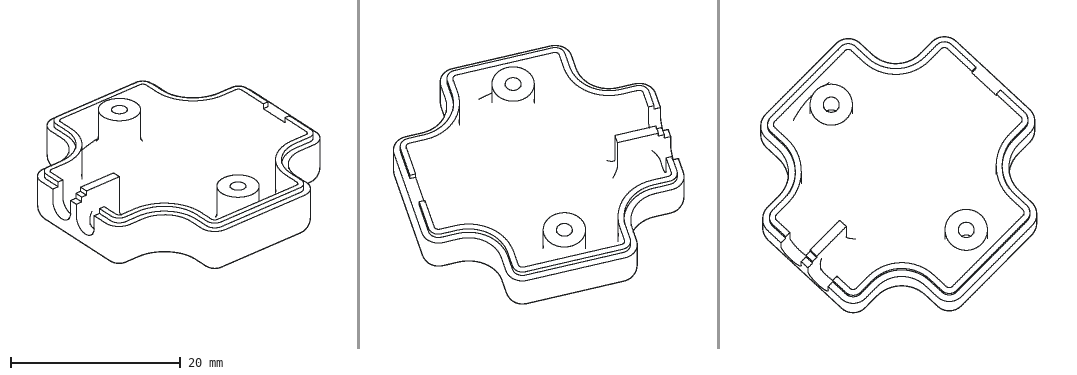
import cadquery as cq
import math

span = 32.0
arm_width = 16.0
corner_radius = 2.0
inside_radius = 4.0
bottom_radius = 2.0
rim_height = 6.0
floor_thickness = 1.5
wall_thickness = 1.5
floor_fillet = corner_radius - wall_thickness

lip_inset = 0.8
lip_top = 6.7
lip_gap_width = 4.0

post_top = 7.25
post_diameter = 5.0
post_offset = 11.0
post_fillet = 2.0
post_hole_diameter = 1.85

slot_width = 3.3
divider_width = 1.1
slot_bottom = 2.7
divider_length = 5.02
divider_fillet = 1.0

inner_wall = span / 2 - wall_thickness
root_z = floor_thickness / 2
edge_margin = 0.03


def cross_prism(inset, bottom, top):
    """Rounded cross whose outline lies `inset` inside the outer outline."""
    end = span / 2 - inset
    side = arm_width / 2 - inset
    convex = corner_radius - inset
    concave = inside_radius + inset
    height = top - bottom
    arm_x = cq.Workplane("XY").box(2 * end, 2 * side, height, centered=(True, True, False))
    arm_y = cq.Workplane("XY").box(2 * side, 2 * end, height, centered=(True, True, False))
    ends = arm_x.edges("|Z").fillet(convex).union(arm_y.edges("|Z").fillet(convex))
    reach = side + concave
    hub = cq.Workplane("XY").box(2 * reach, 2 * reach, height, centered=(True, True, False))
    scoops = (
        cq.Workplane("XY")
        .rect(2 * reach, 2 * reach, forConstruction=True)
        .vertices()
        .circle(concave)
        .extrude(height)
    )
    return ends.union(hub.cut(scoops)).clean().translate((0, 0, bottom))


def make_tray():
    body = cross_prism(0, 0, rim_height).faces("<Z").edges().fillet(bottom_radius)
    lip = cross_prism(lip_inset, floor_thickness, lip_top)
    cavity = cross_prism(wall_thickness, floor_thickness, post_top)
    cavity = cavity.faces("<Z").edges().fillet(floor_fillet)
    return body.union(lip).cut(cavity)


def add_divider(tray):
    """Add the wall between the slots, filleted into the floor and the front wall."""
    divider = (
        cq.Workplane("XY", origin=(0, -inner_wall, root_z))
        .box(divider_width, divider_length, post_top - root_z, centered=(True, False, False))
    )
    low = (-divider_width, -inner_wall - edge_margin, floor_thickness - edge_margin)
    high = (divider_width, 0, floor_thickness + floor_fillet + edge_margin)
    foot_edges = cq.selectors.BoxSelector(low, high, boundingbox=True)
    return tray.union(divider).edges(foot_edges).fillet(divider_fillet)


def make_post(x):
    """Screw post that flares into the floor, trimmed where the flare meets the wall."""
    radius = post_diameter / 2
    foot = radius + post_fillet
    bend = post_fillet * (1 - math.sqrt(0.5))
    post = (
        cq.Workplane("XZ")
        .moveTo(0, post_top)
        .lineTo(radius, post_top)
        .lineTo(radius, floor_thickness + post_fillet)
        .threePointArc((radius + bend, floor_thickness + bend), (foot, floor_thickness))
        .lineTo(foot, root_z)
        .lineTo(0, root_z)
        .close()
        .revolve(360, (0, 0, 0), (0, 1, 0))
        .translate((x, 0, 0))
    )
    return post.intersect(cross_prism(wall_thickness, root_z, post_top))


def make_post_hole(x):
    return (
        cq.Workplane("XY", origin=(x, 0, floor_thickness))
        .circle(post_hole_diameter / 2)
        .extrude(post_top - floor_thickness)
    )


def make_slot(x):
    """Round-bottomed cutter through the front wall and its fillets beside the divider."""
    radius = slot_width / 2
    centre_z = slot_bottom + radius
    return (
        cq.Workplane("XZ", origin=(x, divider_fillet - inner_wall, 0))
        .moveTo(-radius, post_top)
        .lineTo(-radius, centre_z)
        .threePointArc((0, slot_bottom), (radius, centre_z))
        .lineTo(radius, post_top)
        .close()
        .extrude(wall_thickness + divider_fillet)
    )


def make_lip_gap():
    return (
        cq.Workplane("XY", origin=(0, inner_wall, rim_height))
        .box(lip_gap_width, wall_thickness, lip_top - rim_height, centered=(True, False, False))
    )


result = add_divider(make_tray()).cut(make_lip_gap())
for side in (-1, 1):
    result = result.union(make_post(side * post_offset))
    result = result.cut(make_post_hole(side * post_offset))
    result = result.cut(make_slot(side * (divider_width + slot_width) / 2))